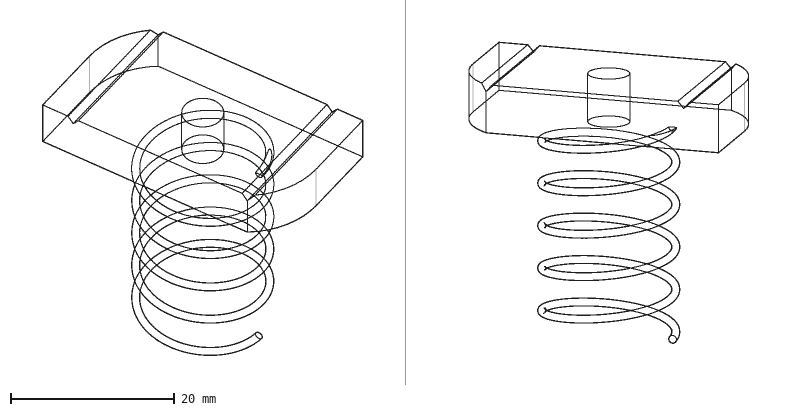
import cadquery as cq
import math

length = 34.35
width = 19.05
thickness = 6.1
hole_diameter = 5.15
corner_radius = 10.5
corner_run = 4.45

groove_half_width = 0.75
groove_depth = 0.85
groove_offset = length / 2 - corner_run

wire_diameter = 1.0
coil_radius = 8.2
pitch = 5.4
turns = 5

half_length = length / 2
half_width = width / 2
spring_height = pitch * turns


def make_plate():
    """Plate with two opposite corners rounded, each arc tangent to the short side."""
    sweep = math.acos(1 - corner_run / corner_radius)
    arc_start_y = half_width - corner_radius * math.sin(sweep)
    arc_mid_x = half_length - corner_radius * (1 - math.cos(sweep / 2))
    arc_mid_y = arc_start_y + corner_radius * math.sin(sweep / 2)
    return (
        cq.Workplane("XY")
        .moveTo(-half_length, -half_width)
        .lineTo(groove_offset, -half_width)
        .threePointArc((arc_mid_x, -arc_mid_y), (half_length, -arc_start_y))
        .lineTo(half_length, half_width)
        .lineTo(-groove_offset, half_width)
        .threePointArc((-arc_mid_x, arc_mid_y), (-half_length, arc_start_y))
        .close()
        .extrude(thickness)
    )


def make_groove(x):
    """V-shaped cutter running the full width of the plate."""
    return (
        cq.Workplane("XZ")
        .moveTo(x - groove_half_width, thickness)
        .lineTo(x, thickness - groove_depth)
        .lineTo(x + groove_half_width, thickness)
        .close()
        .extrude(half_width, both=True)
    )


def make_spring():
    """Round wire swept along a helix that starts and ends on the +X side."""
    path = cq.Wire.makeHelix(pitch, spring_height, coil_radius, lefthand=True)
    spring = (
        cq.Workplane("XZ", origin=(coil_radius, 0, 0))
        .circle(wire_diameter / 2)
        .sweep(cq.Workplane(obj=path), isFrenet=True)
    )
    return spring.translate((0, 0, -spring_height))


hole = cq.Workplane("XY").circle(hole_diameter / 2).extrude(thickness)
plate = make_plate().cut(hole)
for groove_x in (-groove_offset, groove_offset):
    plate = plate.cut(make_groove(groove_x))

result = plate.union(make_spring())